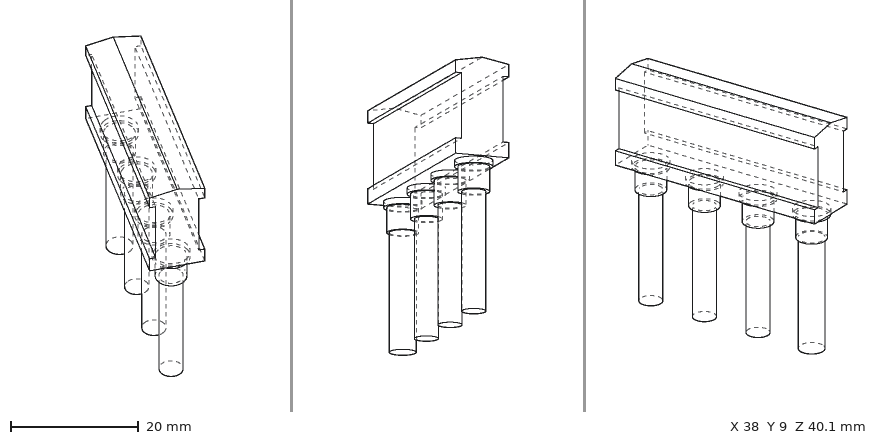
import cadquery as cq

body_length = 38.0
flange_width = 9.0
web_width = 7.0
overall_height = 40.1
roof_rise = 0.8
top_flange_edge = 2.0
web_height = 10.55
bottom_flange_height = 2.5

pin_count = 4
pin_pitch = 10.22
collar_diameter = 6.0
collar_height = 1.0
sleeve_diameter = 5.0
sleeve_height = 4.0
pin_diameter = 3.8
first_pin_diameter = 4.25

eave_z = overall_height - roof_rise
web_top_z = eave_z - top_flange_edge
web_bottom_z = web_top_z - web_height
body_bottom_z = web_bottom_z - bottom_flange_height
collar_bottom_z = body_bottom_z - collar_height
sleeve_bottom_z = collar_bottom_z - sleeve_height


def make_body():
    """I-shaped section with a shallow ridged roof, centred on X and Y."""
    half_flange = flange_width / 2
    half_web = web_width / 2
    return (
        cq.Workplane("YZ", origin=(-body_length / 2, 0, 0))
        .moveTo(0, body_bottom_z)
        .lineTo(half_flange, body_bottom_z)
        .lineTo(half_flange, web_bottom_z)
        .lineTo(half_web, web_bottom_z)
        .lineTo(half_web, web_top_z)
        .lineTo(half_flange, web_top_z)
        .lineTo(half_flange, eave_z)
        .lineTo(0, overall_height)
        .mirrorY()
        .extrude(body_length)
    )


def make_cylinder(x, diameter, bottom_z, top_z):
    """Vertical cylinder on the part's centre plane."""
    return (
        cq.Workplane("XY", origin=(x, 0, bottom_z))
        .circle(diameter / 2)
        .extrude(top_z - bottom_z)
    )


def make_stepped_pin(x, diameter):
    """Collar against the body, then a sleeve, then the slender pin."""
    collar = make_cylinder(x, collar_diameter, collar_bottom_z, body_bottom_z)
    sleeve = make_cylinder(x, sleeve_diameter, sleeve_bottom_z, collar_bottom_z)
    pin = make_cylinder(x, diameter, 0, sleeve_bottom_z)
    return collar.union(sleeve).union(pin)


result = make_body()
for index in range(pin_count):
    pin_x = (index - (pin_count - 1) / 2) * pin_pitch
    diameter = first_pin_diameter if index == 0 else pin_diameter
    result = result.union(make_stepped_pin(pin_x, diameter))